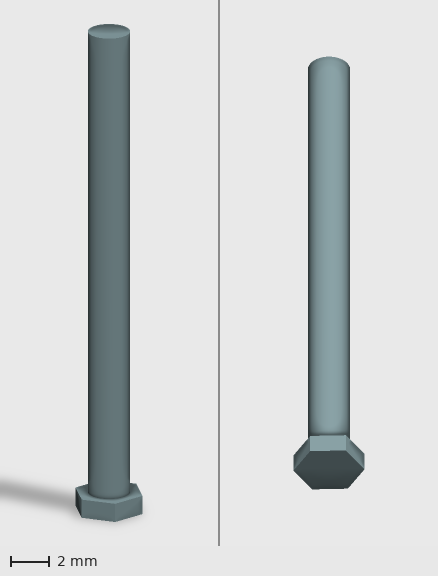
import cadquery as cq
import math

total_length = 26.4
head_height = 1.0
across_flats = 3.2
shank_diameter = 2.2

across_corners = across_flats / math.cos(math.radians(30))
corner_turn = 90

head = (
    cq.Workplane("XY")
    .transformed(rotate=(0, 0, corner_turn))
    .polygon(6, across_corners)
    .extrude(head_height)
)

shank = (
    cq.Workplane("XY")
    .workplane(offset=head_height)
    .circle(shank_diameter / 2)
    .extrude(total_length - head_height)
)

result = head.union(shank)